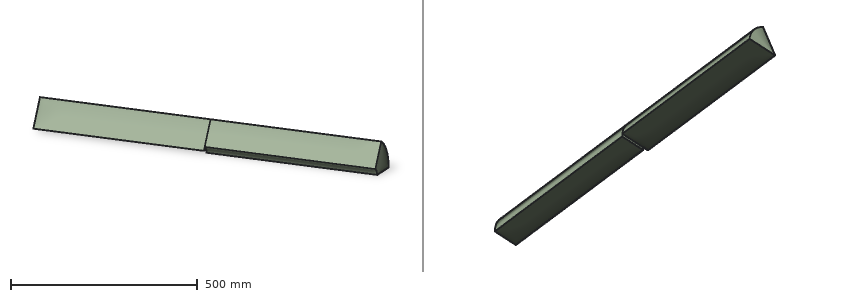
import cadquery as cq
import math

total_length = 1000.0
bar_length = total_length / 2
outer_radius = 100.0
bore_radius = 23.0
sector_angle = 60.0
base_rise = 10.0


def polar(radius, angle):
    """Point (Y, Z) at a radius and an angle in degrees from +Y about the axis."""
    turn = math.radians(angle)
    return radius * math.cos(turn), radius * math.sin(turn)


apex = polar(outer_radius, sector_angle)


def make_wedge_bar():
    """Left bar: sector cut flat above its axis, leaving a sharp front edge."""
    front_edge = (base_rise / math.tan(math.radians(sector_angle)), base_rise)
    back_angle = math.degrees(math.asin(base_rise / outer_radius))
    return (
        cq.Workplane("YZ")
        .moveTo(*front_edge)
        .lineTo(*polar(outer_radius, back_angle))
        .threePointArc(polar(outer_radius, (back_angle + sector_angle) / 2), apex)
        .close()
        .extrude(bar_length)
    )


def make_bored_bar():
    """Right bar: full sector with a concave groove in place of its point."""
    middle_angle = sector_angle / 2
    return (
        cq.Workplane("YZ", origin=(bar_length, 0, 0))
        .moveTo(bore_radius, 0)
        .lineTo(outer_radius, 0)
        .threePointArc(polar(outer_radius, middle_angle), apex)
        .lineTo(*polar(bore_radius, sector_angle))
        .threePointArc(polar(bore_radius, middle_angle), (bore_radius, 0))
        .close()
        .extrude(bar_length)
    )


wedge_bar = make_wedge_bar()
bored_bar = make_bored_bar()

result = cq.Compound.makeCompound([wedge_bar.val(), bored_bar.val()])